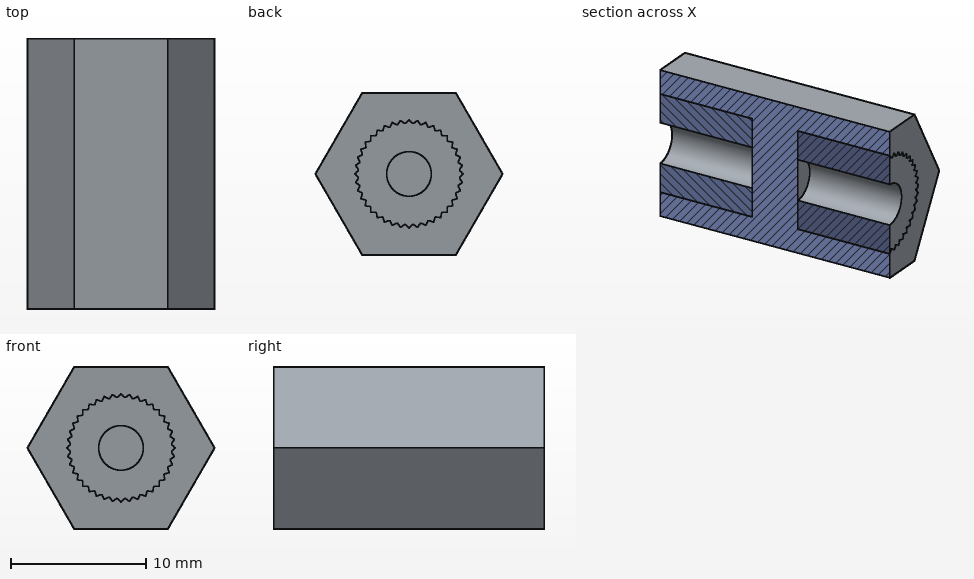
import cadquery as cq
import math

across_flats = 12.0
length = 20.0

insert_diameter = 7.5
insert_length = 8.0
bore_diameter = 3.3

tooth_count = 40
tooth_tip_diameter = 8.0

half_length = length / 2
across_corners = across_flats / math.cos(math.radians(30))


def knurl_outline():
    """Points of a closed zigzag with right-angled tips and a tip on each axis."""
    half_pitch = math.pi / tooth_count
    tip_radius = tooth_tip_diameter / 2
    root_radius = tip_radius / (math.cos(half_pitch) + math.sin(half_pitch))
    points = []
    for step in range(2 * tooth_count):
        radius = root_radius if step % 2 else tip_radius
        angle = step * half_pitch
        points.append((radius * math.cos(angle), radius * math.sin(angle)))
    return points


def end_plane(side):
    """Workplane on the end face at Y = side * half_length, with its normal pointing into the standoff."""
    plane = cq.Plane(origin=(0, side * half_length, 0), xDir=(1, 0, 0), normal=(0, -side, 0))
    return cq.Workplane(plane)


def make_knurled_blank(side):
    """Solid shape of an insert without its bore: a cylinder with teeth over its full length."""
    core = end_plane(side).circle(insert_diameter / 2).extrude(insert_length)
    teeth = end_plane(side).polyline(knurl_outline()).close().extrude(insert_length)
    return core.union(teeth, clean=False)


def make_insert(side):
    """Knurled insert, flush with one end face, bored along its full length."""
    bore = end_plane(side).circle(bore_diameter / 2).extrude(insert_length)
    return make_knurled_blank(side).cut(bore, clean=False)


def make_standoff():
    """Hexagonal bar with a matching knurled recess at each end for the inserts."""
    standoff = end_plane(-1).polygon(6, across_corners).extrude(length)
    for side in (-1, 1):
        standoff = standoff.cut(make_knurled_blank(side))
    return standoff


inserts = [make_insert(side) for side in (-1, 1)]
standoff = make_standoff()
result = cq.Compound.makeCompound([standoff.val(), *[insert.val() for insert in inserts]])